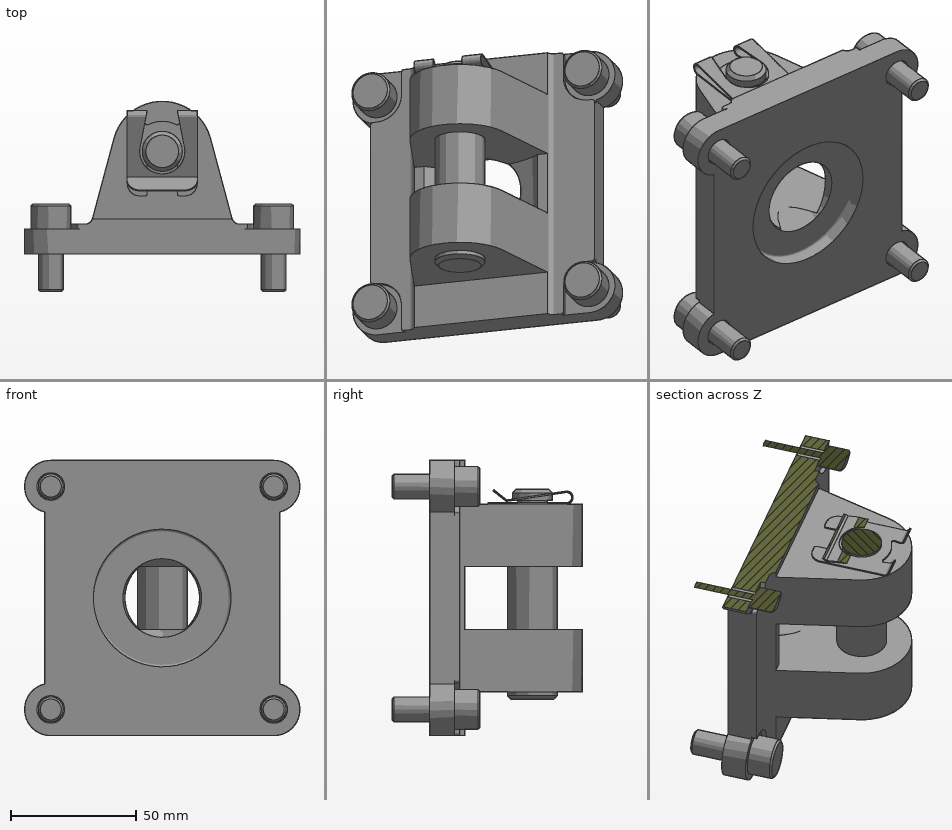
import cadquery as cq
import math

bolt_pitch = 89.0
ear_radius = 10.5
plate_size = bolt_pitch + 2 * ear_radius
plate_width = 94.0
ear_thickness = 10.0
plate_thickness = 12.0
pad_thickness = 14.0
relief_mouth_radius = 1.0
spigot_diameter = 55.0
spigot_depth = 5.0
spigot_floor_radius = 1.0

lug_gap = 25.0
lug_thickness = 25.0
lug_span = lug_gap + 2 * lug_thickness
lug_radius = 20.0
lug_flank_angle = math.radians(15)
lug_root_radius = 3.0
pin_y = 41.0
eye_clearance_radius = 36.0
bore_mouth_radius = 15.7
bore_taper_angle = math.radians(15)

bolt_diameter = 10.0
bolt_hole_diameter = 11.0
bolt_length = 25.0
bolt_head_diameter = 16.0
bolt_head_height = 10.0
bolt_chamfer = 0.8

pin_diameter = 20.0
pin_overhang = 3.0
neck_diameter = 12.0
neck_length = 1.5
pin_head_diameter = 16.0
pin_head_length = 4.5
pin_chamfer = 1.5

clip_thickness = 0.6
clip_width = 28.0
clip_corner_radius = 5.0
loop_inner_diameter = 4.0
loop_mid_radius = (loop_inner_diameter + clip_thickness) / 2
loop_y = pin_y + 13.65
prong_end_y = pin_y - 17.8
prong_inner_radius = 1.0
base_back_corner_radius = 1.0
bend_y = pin_y - 10.3
tip_y = pin_y - 15.6
leaf_angle = math.radians(8.5)
tip_angle = math.radians(38)
leaf_hole_radius = 9.0
leaf_slot_taper = math.radians(11)
base_back_radius = 12.0

half_pitch = bolt_pitch / 2
lug_top_z = lug_span / 2
base_middle_z = lug_top_z + clip_thickness / 2
base_top_z = lug_top_z + clip_thickness
clip_height = loop_inner_diameter + 2 * clip_thickness
bolt_spots = [(sx * half_pitch, sz * half_pitch) for sx in (-1, 1) for sz in (-1, 1)]


def plate_plane(y):
    """Workplane parallel to the plate at height y; positive extrusion runs toward -Y."""
    return cq.Workplane("XZ", origin=(0, y, 0))


def pin_plane(z):
    """Horizontal workplane centred on the pin axis at height z."""
    return cq.Workplane("XY", origin=(0, pin_y, z))


def make_clevis_profile():
    """Plate and lug cross-section, extruded over the full plate height."""
    flank_top_x = lug_radius * math.cos(lug_flank_angle)
    flank_top_y = pin_y + lug_radius * math.sin(lug_flank_angle)
    foot_x = flank_top_x + (flank_top_y - plate_thickness) * math.tan(lug_flank_angle)
    root_x = foot_x + lug_root_radius * math.tan((math.pi / 2 - lug_flank_angle) / 2)
    root_y = plate_thickness + lug_root_radius

    def root_point(angle):
        return (root_x - lug_root_radius * math.cos(angle), root_y - lug_root_radius * math.sin(angle))

    root_middle = root_point((math.pi / 2 + lug_flank_angle) / 2)
    root_end = root_point(lug_flank_angle)
    flank_top = (flank_top_x, flank_top_y)
    foot = (root_x, plate_thickness)

    def mirrored(point):
        return (-point[0], point[1])

    return (
        cq.Workplane("XY", origin=(0, 0, -plate_size / 2))
        .moveTo(-plate_size / 2, 0)
        .lineTo(plate_size / 2, 0)
        .lineTo(plate_size / 2, plate_thickness)
        .lineTo(*foot)
        .threePointArc(root_middle, root_end)
        .lineTo(*flank_top)
        .threePointArc((0, pin_y + lug_radius), mirrored(flank_top))
        .lineTo(*mirrored(root_end))
        .threePointArc(mirrored(root_middle), mirrored(foot))
        .lineTo(-plate_size / 2, plate_thickness)
        .close()
        .extrude(plate_size)
    )


def make_plate_outline(depth):
    """Plate outline with four round ears, extruded toward +Y."""
    body = plate_plane(0).rect(plate_width, bolt_pitch).extrude(-depth)
    body = body.union(plate_plane(0).rect(bolt_pitch, plate_size).extrude(-depth))
    return body.union(plate_plane(0).pushPoints(bolt_spots).circle(ear_radius).extrude(-depth))


def cut_between_and_beside_lugs(body, depth):
    """Leave two lugs standing on the pad, with an eye clearance scooped out between them."""
    side_height = (plate_size - lug_span) / 2
    side_z = (plate_size + lug_span) / 4
    for z, height in ((0, lug_gap), (side_z, side_height), (-side_z, side_height)):
        slab = cq.Workplane("XY").box(plate_size, depth, height)
        body = body.cut(slab.translate((0, pad_thickness + depth / 2, z)))
    return body.cut(pin_plane(-lug_gap / 2).circle(eye_clearance_radius).extrude(lug_gap))


def cut_ear_reliefs(body):
    """Lower each ear; the relief wall is concentric with the ear and opens on both plate edges."""
    size = 3 * ear_radius
    offset = half_pitch - ear_radius + size / 2
    wall = half_pitch - ear_radius
    for sx in (-1, 1):
        for sz in (-1, 1):
            inner_edge = ("<X" if sx > 0 else ">X", "<Z" if sz > 0 else ">Z")
            relief = cq.Workplane("XY").box(size, size, size)
            relief = relief.faces(inner_edge[0]).edges(inner_edge[1]).fillet(ear_radius)
            body = body.cut(relief.translate((sx * offset, ear_thickness + size / 2, sz * offset)))
    mouths = [(sx * wall, sz * plate_size / 2) for sx in (-1, 1) for sz in (-1, 1)]
    mouths += [(sx * plate_width / 2, sz * wall) for sx in (-1, 1) for sz in (-1, 1)]
    middle_y = (ear_thickness + plate_thickness) / 2
    for x, z in mouths:
        edge = cq.selectors.NearestToPointSelector((x, middle_y, z))
        body = body.edges("|Y").edges(edge).fillet(relief_mouth_radius)
    return body


def cut_centre_bore(body):
    """Shallow spigot recess with a rounded floor edge, and a cone narrowing toward the lugs."""
    spigot = plate_plane(0).circle(spigot_diameter / 2).extrude(-spigot_depth)
    spigot = spigot.faces(">Y").edges().fillet(spigot_floor_radius)
    cone_apex_y = spigot_depth + bore_mouth_radius / math.tan(bore_taper_angle)
    cone = (
        cq.Workplane("XY")
        .moveTo(0, spigot_depth)
        .lineTo(bore_mouth_radius, spigot_depth)
        .lineTo(0, cone_apex_y)
        .close()
        .revolve(360, (0, 0, 0), (0, 1, 0))
    )
    return body.cut(spigot).cut(cone)


def make_housing():
    depth = pin_y + lug_radius
    body = make_clevis_profile().intersect(make_plate_outline(depth))
    body = cut_between_and_beside_lugs(body, depth)
    body = cut_ear_reliefs(body)
    body = cut_centre_bore(body)
    body = body.cut(plate_plane(0).pushPoints(bolt_spots).circle(bolt_hole_diameter / 2).extrude(-depth))
    return body.cut(pin_plane(-lug_top_z).circle(pin_diameter / 2).extrude(lug_span))


def make_bolt(x, z):
    seat = plate_plane(ear_thickness).center(x, z)
    shank = seat.circle(bolt_diameter / 2).extrude(bolt_length).faces("<Y").chamfer(bolt_chamfer)
    head = seat.circle(bolt_head_diameter / 2).extrude(-bolt_head_height).faces(">Y").chamfer(bolt_chamfer)
    return shank.union(head)


def make_pin():
    """Plain pin with a grooved neck and a small head above the upper lug."""
    body = pin_plane(-lug_top_z - pin_overhang).circle(pin_diameter / 2).extrude(lug_span + pin_overhang)
    body = body.faces("<Z").chamfer(pin_chamfer)
    neck = pin_plane(lug_top_z).circle(neck_diameter / 2).extrude(neck_length)
    head = pin_plane(lug_top_z + neck_length).circle(pin_head_diameter / 2).extrude(pin_head_length)
    head = head.faces(">Z").chamfer(pin_chamfer)
    return body.union(neck).union(head)


def make_clip_strip():
    """Flat base, half-round loop, sloping leaf and upturned tip, extruded over the clip width."""
    loop_z = base_middle_z + loop_mid_radius
    leaf_start_y = loop_y - loop_mid_radius * math.sin(leaf_angle)
    leaf_start_z = loop_z + loop_mid_radius * math.cos(leaf_angle)
    bend_z = leaf_start_z - (leaf_start_y - bend_y) * math.tan(leaf_angle)
    tip_z = bend_z + (bend_y - tip_y) * math.tan(tip_angle)
    mitre_angle = (tip_angle - leaf_angle) / 2
    mitre_stretch = 1 / math.cos((tip_angle + leaf_angle) / 2)

    def loop_point(radius, angle):
        return (loop_y + radius * math.cos(angle), loop_z + radius * math.sin(angle))

    def surface(offset):
        """Corner points of the strip surface at this offset from its middle line."""
        radius = loop_mid_radius + offset
        mitre = offset * mitre_stretch
        return [
            (prong_end_y, loop_z - radius),
            loop_point(radius, -math.pi / 2),
            loop_point(radius, leaf_angle / 2),
            loop_point(radius, math.pi / 2 + leaf_angle),
            (bend_y + mitre * math.sin(mitre_angle), bend_z + mitre * math.cos(mitre_angle)),
            (tip_y + offset * math.sin(tip_angle), tip_z + offset * math.cos(tip_angle)),
        ]

    outer = surface(clip_thickness / 2)
    inner = surface(-clip_thickness / 2)
    return (
        cq.Workplane("YZ")
        .moveTo(*outer[0])
        .lineTo(*outer[1])
        .threePointArc(outer[2], outer[3])
        .lineTo(*outer[4])
        .lineTo(*outer[5])
        .lineTo(*inner[5])
        .lineTo(*inner[4])
        .lineTo(*inner[3])
        .threePointArc(inner[2], inner[1])
        .lineTo(*inner[0])
        .close()
        .extrude(clip_width / 2, both=True)
    )


def round_edges(body, points, radius):
    """Round the edge nearest to each point, and its mirror image in X."""
    for x, y, z in points:
        for side in (-1, 1):
            edge = cq.selectors.NearestToPointSelector((side * x, y, z))
            body = body.edges(edge).fillet(radius)
    return body


def cut_leaf_opening(strip):
    """Round hole over the pin head, with straight sides closing in through the loop."""
    touch_x = leaf_hole_radius * math.cos(leaf_slot_taper)
    touch_y = leaf_hole_radius * math.sin(leaf_slot_taper)
    slot_end_y = loop_y + loop_mid_radius + clip_thickness - pin_y
    slot_end_x = touch_x - (slot_end_y - touch_y) * math.tan(leaf_slot_taper)
    sides = [(touch_x, touch_y), (slot_end_x, slot_end_y), (-slot_end_x, slot_end_y), (-touch_x, touch_y)]
    hole = pin_plane(base_top_z).circle(leaf_hole_radius).extrude(clip_height)
    slot = pin_plane(lug_top_z).polyline(sides).close().extrude(clip_height)
    base_back = pin_plane(lug_top_z).circle(base_back_radius).extrude(clip_thickness)
    strip = strip.cut(hole).cut(slot.cut(base_back))
    corner_angle = leaf_slot_taper + math.acos(leaf_hole_radius / base_back_radius)
    corner_x = base_back_radius * math.cos(corner_angle)
    corner_y = pin_y + base_back_radius * math.sin(corner_angle)
    return round_edges(strip, [(corner_x, corner_y, base_middle_z)], base_back_corner_radius)


def cut_neck_slot(strip):
    """Open slot in the base that slides onto the pin neck, leaving two prongs."""
    slot_length = pin_y - prong_end_y
    base = pin_plane(lug_top_z)
    slot = base.center(0, -slot_length / 2).rect(neck_diameter, slot_length).extrude(clip_thickness)
    strip = strip.cut(slot.union(base.circle(neck_diameter / 2).extrude(clip_thickness)))
    return round_edges(strip, [(neck_diameter / 2, prong_end_y, base_middle_z)], prong_inner_radius)


def make_clip():
    side_x = clip_width / 2
    outer_corners = [(side_x, prong_end_y, base_middle_z), (side_x, tip_y, base_top_z + clip_height)]
    strip = round_edges(make_clip_strip(), outer_corners, clip_corner_radius)
    return cut_neck_slot(cut_leaf_opening(strip))


housing = make_housing()
bolts = [make_bolt(x, z) for x, z in bolt_spots]
pin = make_pin()
clip = make_clip()
result = cq.Compound.makeCompound([housing.val(), *[bolt.val() for bolt in bolts], pin.val(), clip.val()])